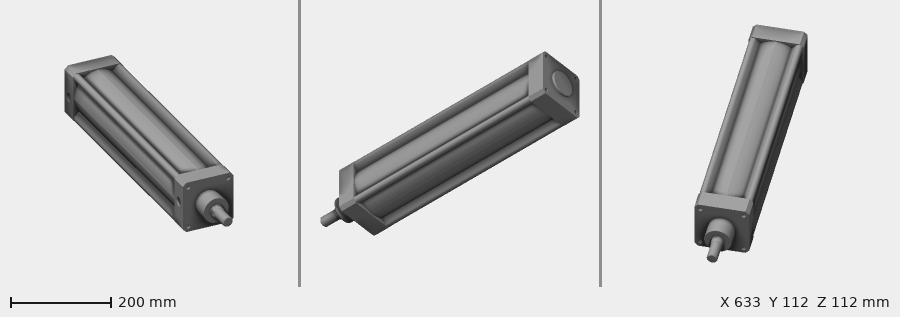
import cadquery as cq
import math

TOTAL_LENGTH = 633.0
CAP_SIDE = 112.0
CAP_LENGTH = 38.0
CAP_CHAMFER = 7.5
TUBE_LENGTH = 461.5
STUB_LENGTH = 5.0
NOSE_LENGTH = 37.5
BOSS_RADIUS = 28.0
BOSS_CHAMFER = 0.5

PORT_RADIUS = 10.0
PORT_DEPTH = 25.5
PORT_OFFSET = 6.0
SCREW_HOLE_RADIUS = 4.75
SCREW_HOLE_OFFSET = 44.0

BARREL_DIAMETER = 106.0
LOBE_RADIUS = 7.5
LOBE_OFFSET = 47.0
RIDGE_WIDTH = 17.0

COLLAR_RADIUS = 13.0
COLLAR_LENGTH = 2.5
ROD_RADIUS = 12.5
ACROSS_FLATS = 22.0
FLATS_LENGTH = 12.5
THREAD_DIAMETER = 22.0
TAPER_LENGTH = 2.0
END_CHAMFER = 2.0

barrel_radius = BARREL_DIAMETER / 2
ridge_half_width = RIDGE_WIDTH / 2
thread_radius = THREAD_DIAMETER / 2

rear_cap_x = STUB_LENGTH
tube_x = rear_cap_x + CAP_LENGTH
front_cap_x = tube_x + TUBE_LENGTH
nose_x = front_cap_x + CAP_LENGTH
rod_x = nose_x + NOSE_LENGTH


def plane_at(x):
    """Plane across the cylinder axis: local x is Y, local y is Z, normal is +X."""
    return cq.Workplane("YZ", origin=(x, 0, 0))


def make_cap(cap_x, boss_x, boss_length, boss_end, port_z):
    """Square end cap with a round boss, four corner holes and a side port."""
    cap = plane_at(cap_x).rect(CAP_SIDE, CAP_SIDE).extrude(CAP_LENGTH)
    cap = cap.edges("|X").chamfer(CAP_CHAMFER)
    boss = plane_at(boss_x).circle(BOSS_RADIUS).extrude(boss_length)
    cap = cap.union(boss.faces(boss_end).chamfer(BOSS_CHAMFER))

    screw_spacing = 2 * SCREW_HOLE_OFFSET
    screw_holes = (
        plane_at(cap_x)
        .rect(screw_spacing, screw_spacing, forConstruction=True)
        .vertices()
        .circle(SCREW_HOLE_RADIUS)
        .extrude(CAP_LENGTH)
    )
    port = cq.Workplane("XZ", origin=(cap_x + CAP_LENGTH / 2, -CAP_SIDE / 2, port_z))
    port = port.circle(PORT_RADIUS).extrude(-PORT_DEPTH)
    return cap.cut(screw_holes).cut(port)


def make_tube():
    """Solid profile: barrel plus diagonal lobes and ridges tangent to the barrel."""
    tube = plane_at(tube_x).circle(barrel_radius).extrude(TUBE_LENGTH)

    lobe_reach = LOBE_OFFSET * math.sqrt(2)
    lobe = (
        plane_at(tube_x)
        .moveTo(0, -LOBE_RADIUS)
        .lineTo(lobe_reach, -LOBE_RADIUS)
        .threePointArc((lobe_reach + LOBE_RADIUS, 0), (lobe_reach, LOBE_RADIUS))
        .lineTo(0, LOBE_RADIUS)
        .close()
        .extrude(TUBE_LENGTH)
    )

    ridge_base = math.sqrt(barrel_radius**2 - ridge_half_width**2)
    ridge_peak = barrel_radius**2 / ridge_base
    ridge = (
        plane_at(tube_x)
        .lineTo(ridge_base, -ridge_half_width)
        .lineTo(ridge_peak, 0)
        .lineTo(ridge_base, ridge_half_width)
        .close()
        .extrude(TUBE_LENGTH)
    )

    for quarter in range(4):
        angle = 90 * quarter
        tube = tube.union(lobe.rotate((0, 0, 0), (1, 0, 0), angle + 45))
        tube = tube.union(ridge.rotate((0, 0, 0), (1, 0, 0), angle))
    return tube


def make_rod():
    """Rod end: collar, round stretch with two wrench flats and a threaded tip."""
    flats_x = rod_x + COLLAR_LENGTH
    thread_x = flats_x + FLATS_LENGTH

    collar = plane_at(rod_x).circle(COLLAR_RADIUS).extrude(COLLAR_LENGTH)
    tip = plane_at(thread_x).circle(thread_radius).extrude(TOTAL_LENGTH - thread_x)
    tip = tip.faces(">X").chamfer(END_CHAMFER)

    grip = plane_at(flats_x).circle(ROD_RADIUS).extrude(FLATS_LENGTH)
    grip = grip.faces(">X").chamfer(TAPER_LENGTH, ROD_RADIUS - thread_radius)
    between_flats = cq.Workplane("XY").box(FLATS_LENGTH, ACROSS_FLATS, 2 * ROD_RADIUS)
    grip = grip.intersect(between_flats.translate((flats_x + FLATS_LENGTH / 2, 0, 0)))
    return collar.union(grip).union(tip)


rear_cap = make_cap(rear_cap_x, 0, STUB_LENGTH, "<X", -PORT_OFFSET)
tube = make_tube()
front_cap = make_cap(front_cap_x, nose_x, NOSE_LENGTH, ">X", PORT_OFFSET)
rod = make_rod()

result = cq.Compound.makeCompound([rear_cap.val(), tube.val(), front_cap.val(), rod.val()])